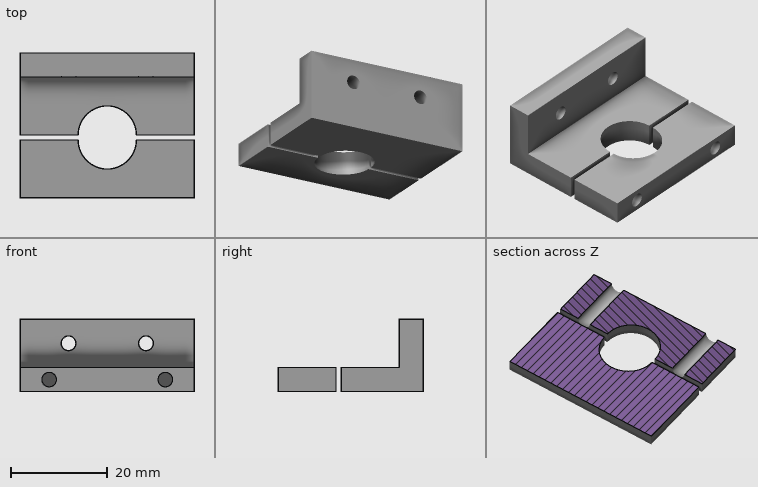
import cadquery as cq

width = 36.0
plate_thickness = 5.0
bracket_depth = 17.0
bracket_height = 15.0
wall_thickness = 5.0
clamp_depth = 12.0
split_gap = 1.0

bore_radius = 6.0
screw_diameter = 3.0
mount_hole_spacing = 16.0
clamp_hole_spacing = 24.0

clamp_face_y = clamp_depth
bracket_face_y = clamp_face_y + split_gap
back_y = bracket_face_y + bracket_depth
wall_face_y = back_y - wall_thickness

mount_hole_z = (plate_thickness + bracket_height) / 2
clamp_hole_z = plate_thickness / 2


def block(front_y, depth, height):
    """Block centred on X, standing on Z = 0."""
    base = cq.Workplane("XY").box(width, depth, height, centered=(True, False, False))
    return base.translate((0, front_y, 0))


def bore_cutter(face_y):
    """Vertical cylinder whose axis lies in a mating face, so it cuts half a circle."""
    return cq.Workplane("XY").center(0, face_y).circle(bore_radius).extrude(plate_thickness)


def hole_pair_cutter(spacing, axis_z, front_y, depth):
    """Two cylinders along +Y, placed evenly about X = 0."""
    return (
        cq.Workplane("XZ", origin=(0, front_y, axis_z))
        .pushPoints([(-spacing / 2, 0), (spacing / 2, 0)])
        .circle(screw_diameter / 2)
        .extrude(-depth)
    )


def make_bracket():
    """L-shaped half: a foot with the half bore and a drilled mounting wall."""
    foot = block(bracket_face_y, bracket_depth, plate_thickness)
    wall = block(wall_face_y, wall_thickness, bracket_height)
    mount_holes = hole_pair_cutter(mount_hole_spacing, mount_hole_z, wall_face_y, wall_thickness)
    return foot.union(wall).cut(bore_cutter(bracket_face_y)).cut(mount_holes)


def make_clamp():
    """Flat half with the half bore and two screw holes through its depth."""
    plate = block(0, clamp_depth, plate_thickness)
    screw_holes = hole_pair_cutter(clamp_hole_spacing, clamp_hole_z, 0, clamp_depth)
    return plate.cut(bore_cutter(clamp_face_y)).cut(screw_holes)


bracket = make_bracket()
clamp = make_clamp()

result = cq.Compound.makeCompound([bracket.solids().val(), clamp.solids().val()])